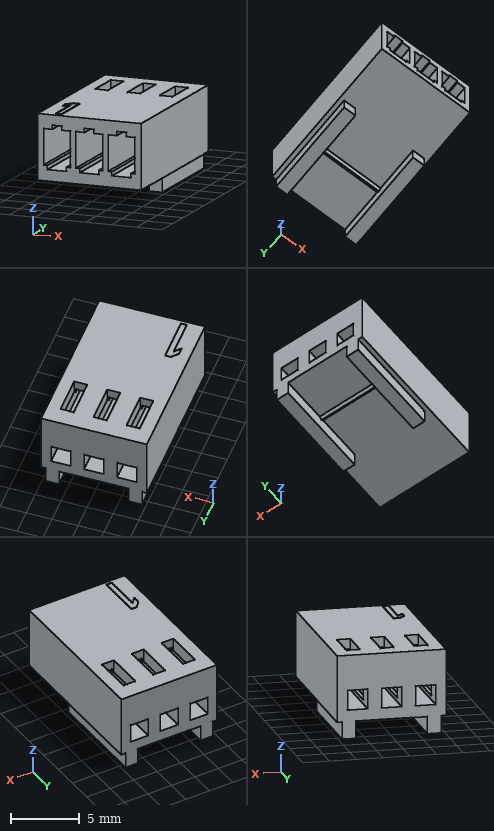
import cadquery as cq

width = 8.17
length = 12.9
height = 5.0
pitch = 2.54
contact_count = 3

cavity_width = 2.1
cavity_floor = 1.19
cavity_top = 3.92
key_width = 0.75
key_top = 4.23

passage_width = 1.5
passage_floor = 0.88
passage_top = 2.36

slot_width = 1.0
slot_length = 3.0
slot_rear_wall = 1.39
cavity_depth = length - slot_rear_wall

rail_width = 1.05
rail_span = 7.43
rail_height = 1.3
rail_length = 8
ridge_drop = 0.2

mark_height = 0.04
mark_left = 0.86
mark_front = 0.32
mark_total_length = 3.5
mark_width = 0.89
stem_width = 0.45
flag_tip_drop = 0.49
flag_thickness = 0.58


def block(x_center, x_size, y_start, y_end, z_start, z_end):
    """Box centred on x_center between the given Y and Z limits."""
    return (
        cq.Workplane("XY")
        .box(x_size, y_end - y_start, z_end - z_start, centered=(True, False, False))
        .translate((x_center, y_start, z_start))
    )


def contact_position(x):
    """Cavity, key groove, passage and latch slot for one contact."""
    cavity = block(x, cavity_width, 0, cavity_depth, cavity_floor, cavity_top)
    key_groove = block(x, key_width, 0, cavity_depth, cavity_floor, key_top)
    passage = block(x, passage_width, 0, length, passage_floor, passage_top)
    slot = block(x, slot_width, cavity_depth - slot_length, cavity_depth, cavity_floor, height)
    return cavity.union(key_groove).union(passage).union(slot)


def catch_ridge():
    """Triangular ridge spanning the rails halfway along them, with 45 degree flanks."""
    crest_y = length - rail_length / 2
    return (
        cq.Workplane("YZ")
        .moveTo(crest_y - ridge_drop, 0)
        .lineTo(crest_y + ridge_drop, 0)
        .lineTo(crest_y, -ridge_drop)
        .close()
        .extrude((rail_span - rail_width) / 2, both=True)
    )


def pin_one_mark():
    """Raised figure: a straight stem with a slanted flag."""
    left = mark_left - width / 2
    right = left + mark_width
    stem_left = right - stem_width
    rear = mark_front + mark_total_length
    flag_tip = rear - flag_tip_drop
    outline = [
        (stem_left, mark_front),
        (right, mark_front),
        (right, rear),
        (stem_left, rear),
        (left, flag_tip),
        (left, flag_tip - flag_thickness),
        (stem_left, rear - flag_thickness),
    ]
    return cq.Workplane("XY", origin=(0, 0, height)).polyline(outline).close().extrude(mark_height)


result = block(0, width, 0, length, 0, height)

for index in range(contact_count):
    contact_x = (index - (contact_count - 1) / 2) * pitch
    result = result.cut(contact_position(contact_x))

for side in (-1, 1):
    rail_x = side * (rail_span - rail_width) / 2
    result = result.union(block(rail_x, rail_width, length - rail_length, length, -rail_height, 0))

result = result.union(catch_ridge()).union(pin_one_mark())